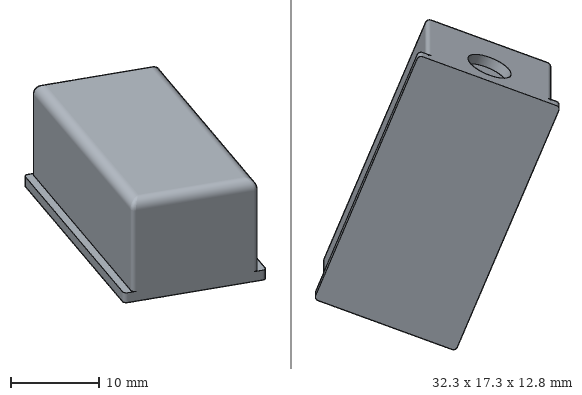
import cadquery as cq

length = 32.3
flange_width = 17.3
height = 12.75

flange_thickness = 1.25
flange_ledge = 1.0
body_width = flange_width - 2 * flange_ledge
corner_radius = 0.5
top_radius = 1.25

recess_diameter = 5.25
recess_depth = 1.25
recess_height = 4.4


def make_flange():
    """Base plate with rounded corners, resting on Z = 0."""
    plate = cq.Workplane("XY").box(length, flange_width, flange_thickness, centered=(True, True, False))
    return plate.edges("|Z").fillet(corner_radius)


def make_body():
    """Block as long as the flange, with rounded corners and a larger round along the top."""
    block = cq.Workplane("XY").box(length, body_width, height, centered=(True, True, False))
    rounded_top = block.faces(">Z").edges().fillet(top_radius)
    return rounded_top.edges("|Z").fillet(corner_radius)


def make_recess():
    """Cylinder that sinks into the -X end."""
    end_face = cq.Workplane("YZ", origin=(-length / 2, 0, recess_height))
    return end_face.circle(recess_diameter / 2).extrude(recess_depth)


result = make_flange().union(make_body()).cut(make_recess())